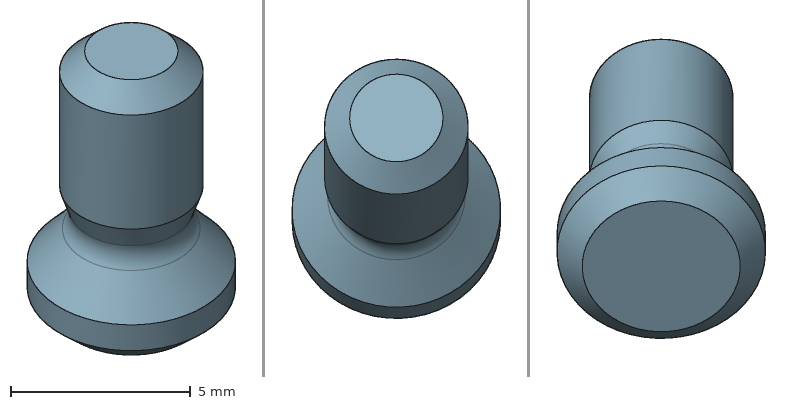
import cadquery as cq
import math

height = 9.0
head_radius = 2.9
shank_radius = 2.0
edge_chamfer = 0.7

head_rim_top = 1.61
neck_bottom = 2.76
neck_top = 3.5
shank_bottom = 4.28

neck_bottom_radius = 1.92
neck_top_radius = 1.75
neck_fillet = 0.8

chord_r = neck_top_radius - neck_bottom_radius
chord_z = neck_top - neck_bottom
chord = math.hypot(chord_r, chord_z)
sagitta = neck_fillet - math.sqrt(neck_fillet**2 - (chord / 2) ** 2)
neck_middle = (
    (neck_bottom_radius + neck_top_radius) / 2 - sagitta * chord_z / chord,
    (neck_bottom + neck_top) / 2 + sagitta * chord_r / chord,
)

profile = (
    cq.Workplane("XZ")
    .moveTo(0, 0)
    .lineTo(head_radius - edge_chamfer, 0)
    .lineTo(head_radius, edge_chamfer)
    .lineTo(head_radius, head_rim_top)
    .lineTo(neck_bottom_radius, neck_bottom)
    .threePointArc(neck_middle, (neck_top_radius, neck_top))
    .lineTo(shank_radius, shank_bottom)
    .lineTo(shank_radius, height - edge_chamfer)
    .lineTo(shank_radius - edge_chamfer, height)
    .lineTo(0, height)
    .close()
)

result = profile.revolve(360, (0, 0, 0), (0, 1, 0))